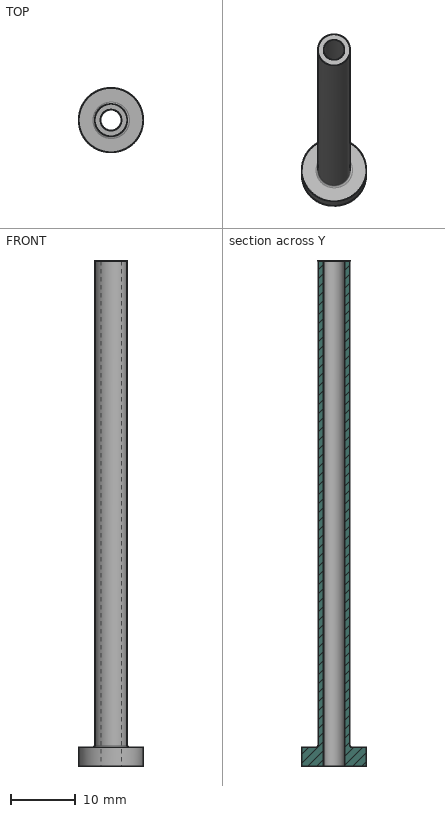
import cadquery as cq

total_length = 78.0
head_diameter = 10.0
head_thickness = 3.0
shaft_diameter = 5.0
bore_diameter = 3.2
neck_fillet_radius = 0.3

head = cq.Workplane("XY").circle(head_diameter / 2).extrude(head_thickness)
shaft_length = total_length - head_thickness
sleeve = head.faces(">Z").workplane().circle(shaft_diameter / 2).extrude(shaft_length)

head_top_face = sleeve.faces("<Z[1]")
neck_edge = head_top_face.edges(cq.selectors.RadiusNthSelector(0))
sleeve = neck_edge.fillet(neck_fillet_radius)

bore = cq.Workplane("XY").circle(bore_diameter / 2).extrude(total_length)
result = sleeve.cut(bore)